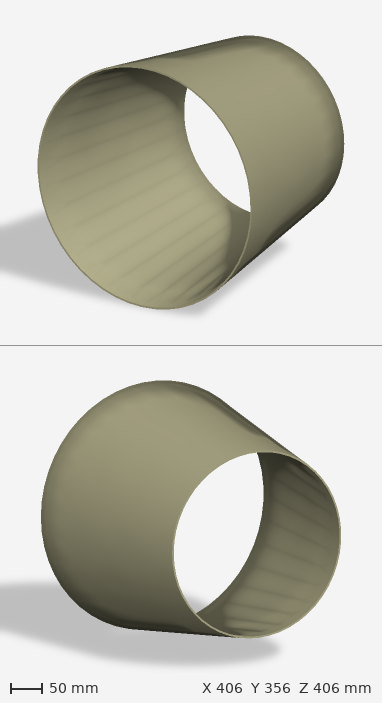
import cadquery as cq

length = 356.0
large_diameter = 406.0
small_diameter = 306.0
wall = 3.0

large_radius = large_diameter / 2
small_radius = small_diameter / 2
large_end_y = -length / 2
small_end_y = length / 2

result = (
    cq.Workplane("XY")
    .polyline([
        (large_radius - wall, large_end_y),
        (large_radius, large_end_y),
        (small_radius, small_end_y),
        (small_radius - wall, small_end_y),
    ])
    .close()
    .revolve(360, (0, 0, 0), (0, 1, 0))
)